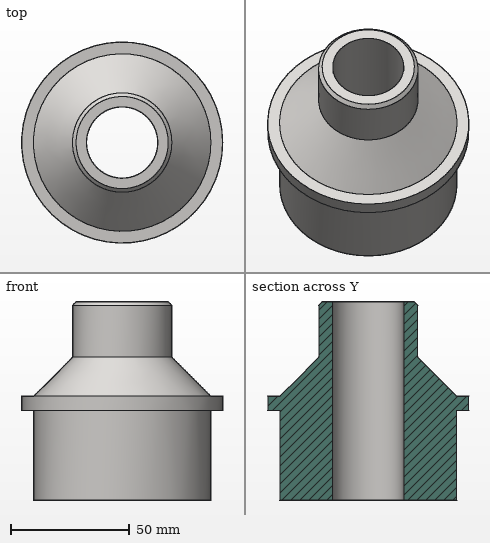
import cadquery as cq

total_height = 84.0
flange_diameter = 85.0
flange_thickness = 6.1
body_diameter = 75.0
body_height = 37.9
neck_diameter = 42.0
neck_chamfer = 1.5
bore_diameter = 30.0

flange_radius = flange_diameter / 2
body_radius = body_diameter / 2
neck_radius = neck_diameter / 2
flange_top = body_height + flange_thickness
cone_top = flange_top + body_radius - neck_radius

outer_shape = (
    cq.Workplane("XZ")
    .moveTo(0, 0)
    .lineTo(body_radius, 0)
    .lineTo(body_radius, body_height)
    .lineTo(flange_radius, body_height)
    .lineTo(flange_radius, flange_top)
    .lineTo(body_radius, flange_top)
    .lineTo(neck_radius, cone_top)
    .lineTo(neck_radius, total_height - neck_chamfer)
    .lineTo(neck_radius - neck_chamfer, total_height)
    .lineTo(0, total_height)
    .close()
    .revolve(360, (0, 0, 0), (0, 1, 0))
)

bore = cq.Workplane("XY").circle(bore_diameter / 2).extrude(total_height)

result = outer_shape.cut(bore)